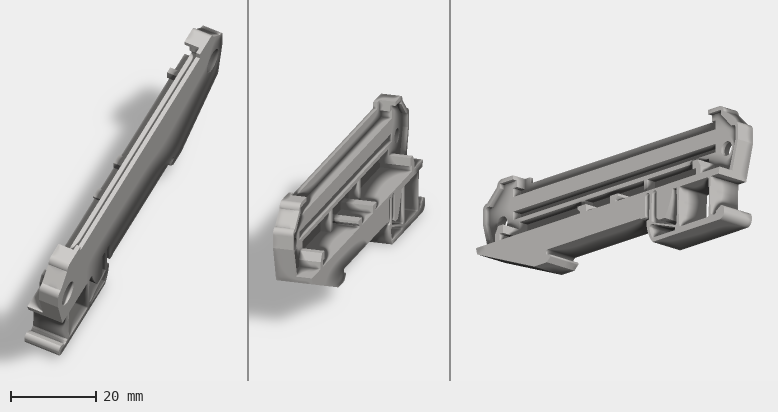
import cadquery as cq
import math

length = 86.4
width = 9.0
height = 30.0
half_length = length / 2

rim_x = 4.1
face_x = 5.4
groove_x = 7.95

ledge_z = 13.05
strip_z = 11.4
pocket_top_z = 18.5
groove_bottom_z = 19.5
groove_top_z = 21.6
upper_groove_z = 25.2
lip_z = 27.4
edge_z = 28.4
shoulder_z = 25.1

end_hook_tip_z = 14.6
end_hook_top_z = 16.7
center_hook_top_z = 14.9

groove_half = 34.3
lip_half = 33.0
notch_half = 31.4
pocket_half = 32.1
undercut_half = 33.3
base_top_half = 41.3

top_radius = 1.55
top_arc_y = 36.8
shoulder_radius = 1.5
side_bottom_z = 20.3
side_slope = (half_length - base_top_half) / (side_bottom_z - ledge_z)
base_bottom_half = base_top_half - side_slope * (ledge_z - strip_z)
rim_width = 0.9

hole_radius = 1.77
hole_y = 38.0
counterbore_radius = 3.0
counterbore_x = 6.4
hole_z = groove_bottom_z

rib_y = 10.5
rib_thickness = 1.0


def profile(x=0):
    """Sketch plane facing +X whose axes are Y and Z."""
    return cq.Workplane("YZ", origin=(x, 0, 0))


def both_ends(half):
    """Add the mirror image of a shape on the other side of the middle."""
    return half.union(half.mirror("XZ"))


def bar(x_start, x_end, y_start, y_end, z_start, z_end):
    size = (x_end - x_start, y_end - y_start, z_end - z_start)
    return cq.Workplane("XY").box(*size, centered=False).translate((x_start, y_start, z_start))


def plate_half():
    diagonal = top_radius * math.sqrt(0.5)
    shoulder_diagonal = shoulder_radius * math.sqrt(0.5)
    shoulder_center_y = half_length - shoulder_radius
    shoulder_center_z = shoulder_z - shoulder_radius
    return (
        profile(rim_x)
        .moveTo(0, ledge_z)
        .lineTo(0, edge_z)
        .lineTo(notch_half, edge_z)
        .lineTo(notch_half, height)
        .lineTo(top_arc_y, height)
        .threePointArc((top_arc_y + diagonal, edge_z + diagonal), (top_arc_y + top_radius, edge_z))
        .lineTo(shoulder_center_y, shoulder_z)
        .threePointArc(
            (shoulder_center_y + shoulder_diagonal, shoulder_center_z + shoulder_diagonal),
            (half_length, shoulder_center_z),
        )
        .lineTo(half_length, side_bottom_z)
        .lineTo(base_top_half, ledge_z)
        .close()
        .extrude(width - rim_x)
    )


def rim_recess_half():
    """Space in front of the main face, inside the rim of one end."""
    inner_y = half_length - rim_width
    inner_top_z = 28.95
    inner_corner_y = 37.4
    arc_radius = 0.7
    inner_shoulder_z = 24.2
    bend_z = 27.8
    bend_y = 40.95
    inner_bottom_y = 40.2
    return (
        profile(rim_x)
        .moveTo(0, ledge_z)
        .lineTo(0, height)
        .lineTo(lip_half, height)
        .lineTo(lip_half, inner_top_z)
        .lineTo(inner_corner_y, inner_top_z)
        .lineTo(inner_corner_y, bend_z)
        .lineTo(bend_y, inner_shoulder_z)
        .lineTo(inner_y - arc_radius, inner_shoulder_z)
        .radiusArc((inner_y, inner_shoulder_z - arc_radius), arc_radius)
        .lineTo(inner_y, side_bottom_z)
        .lineTo(inner_bottom_y, ledge_z)
        .close()
        .extrude(face_x - rim_x)
    )


def make_plate():
    plate = both_ends(plate_half()).cut(both_ends(rim_recess_half()))
    grooves = (
        bar(face_x, groove_x, -groove_half, groove_half, groove_bottom_z, groove_top_z)
        .union(bar(face_x, groove_x, -groove_half, groove_half, upper_groove_z, lip_z))
        .union(bar(face_x, groove_x, -lip_half, lip_half, lip_z, height))
    )
    pocket = bar(face_x, groove_x, -pocket_half, pocket_half, ledge_z, pocket_top_z).union(
        bar(face_x, groove_x, -undercut_half, undercut_half, ledge_z, end_hook_tip_z)
    )
    rib = bar(face_x, groove_x, rib_y - rib_thickness / 2, rib_y + rib_thickness / 2, ledge_z, pocket_top_z)
    hole_centers = [(-hole_y, hole_z), (hole_y, hole_z)]
    holes = profile().pushPoints(hole_centers).circle(hole_radius).extrude(width)
    counterbores = (
        profile(counterbore_x)
        .pushPoints(hole_centers)
        .circle(counterbore_radius)
        .extrude(width - counterbore_x)
    )
    return plate.cut(grooves).cut(pocket).union(both_ends(rib)).cut(holes).cut(counterbores)


def end_hook():
    """Hook that overhangs toward the middle of the part."""
    outer_y = 34.8
    bevel_y = 33.8
    bevel_z = 14.8
    return (
        profile()
        .polyline([
            (outer_y, ledge_z),
            (outer_y, bevel_z),
            (bevel_y, end_hook_top_z),
            (pocket_half, end_hook_top_z),
            (pocket_half, end_hook_tip_z),
            (undercut_half, end_hook_tip_z),
            (undercut_half, ledge_z),
        ])
        .close()
        .extrude(face_x)
    )


def center_hook():
    """Hook whose slanted lip overhangs away from the middle of the part."""
    inner_y = 4.1
    root_y = 6.05
    tip_y = 6.8
    root_z = 13.5
    tip_z = 14.25
    return (
        profile()
        .polyline([
            (inner_y, ledge_z),
            (inner_y, center_hook_top_z),
            (tip_y, center_hook_top_z),
            (tip_y, tip_z),
            (root_y, root_z),
            (root_y, ledge_z),
        ])
        .close()
        .extrude(groove_x)
    )


beam_z = 6.8
step_z = 6.6
toe_z = 3.7
slot_arc_z = 11.75
tooth_z = 4.9

beam_end_y = -16.1
spring_front_y = -17.5
spring_back_y = -18.4
tooth_y = -20.0


def make_base():
    front_radius = (beam_end_y - spring_front_y) / 2
    back_radius = (spring_back_y - tooth_y) / 2
    step_y = -14.3
    step_bevel = beam_z - step_z
    return (
        profile()
        .moveTo(base_top_half, ledge_z)
        .lineTo(base_bottom_half, strip_z)
        .lineTo(21.6, toe_z)
        .lineTo(17.3, toe_z)
        .lineTo(16.1, 4.8)
        .threePointArc((16.0, 5.2), (16.2, 5.4))
        .lineTo(17.4, 5.6)
        .threePointArc((17.6, 6.2), (16.9, beam_z))
        .lineTo(step_y, beam_z)
        .lineTo(step_y - step_bevel, step_z)
        .lineTo(beam_end_y + step_bevel, step_z)
        .lineTo(beam_end_y, beam_z)
        .lineTo(beam_end_y, slot_arc_z)
        .threePointArc((beam_end_y - front_radius, slot_arc_z + front_radius), (spring_front_y, slot_arc_z))
        .lineTo(spring_back_y, slot_arc_z)
        .threePointArc((spring_back_y - back_radius, slot_arc_z + back_radius), (tooth_y, slot_arc_z))
        .lineTo(tooth_y, 5.5)
        .threePointArc((-20.3, 5.2), (-20.9, tooth_z))
        .lineTo(-22.6, tooth_z)
        .threePointArc((-24.4, 8.2), (-25.3, strip_z))
        .lineTo(-base_bottom_half, strip_z)
        .lineTo(-base_top_half, ledge_z)
        .close()
        .extrude(width)
    )


leg_mid_z = 6.5
leg_waist = 0.3
floor_z = 1.55
heel_floor_z = 1.0

inner_leg_front_y = -26.6
inner_leg_back_y = -27.65
outer_leg_front_y = -37.4
outer_leg_back_y = -38.3
corner_radius = 0.35


def foot_outline():
    grip_end_y = -42.8
    return (
        profile()
        .moveTo(spring_front_y, slot_arc_z)
        .threePointArc((-17.45, 8.6), (-17.3, 5.9))
        .lineTo(-16.4, 5.5)
        .threePointArc((-17.0, 2.5), (-18.5, 0))
        .lineTo(-41.2, 0)
        .threePointArc((-42.3, 0.5), (grip_end_y, 1.9))
        .lineTo(grip_end_y, 2.4)
        .threePointArc((-42.4, 3.1), (-41.7, 3.45))
        .lineTo(-40.1, 2.4)
        .threePointArc((-39.5, 1.6), (-38.8, 1.9))
        .lineTo(outer_leg_back_y, 2.1)
        .threePointArc((outer_leg_back_y + leg_waist, leg_mid_z), (outer_leg_back_y, strip_z))
        .lineTo(outer_leg_back_y, slot_arc_z)
        .close()
        .extrude(width)
    )


def heel_window():
    return (
        profile()
        .moveTo(-18.5, heel_floor_z)
        .lineTo(-25.75, heel_floor_z)
        .threePointArc((-26.2, 1.4), (-25.8, 1.9))
        .lineTo(-18.5, 4.4)
        .threePointArc((-17.8, 4.3), (-17.45, 4.0))
        .threePointArc((-17.8, 2.4), (-18.5, heel_floor_z))
        .close()
        .extrude(width)
    )


def tooth_window():
    """Opening around the stop tooth, closed below by the slanted web."""
    return (
        profile()
        .moveTo(spring_back_y, slot_arc_z)
        .threePointArc((-18.2, 8.2), (-18.2, 5.1))
        .lineTo(-18.7, 4.75)
        .lineTo(-26.1, 2.3)
        .threePointArc((-26.4, 2.4), (inner_leg_front_y, 2.85))
        .threePointArc((inner_leg_front_y - leg_waist, leg_mid_z), (inner_leg_front_y, strip_z))
        .lineTo(inner_leg_front_y, slot_arc_z)
        .close()
        .extrude(width)
    )


def square_window():
    return (
        profile()
        .moveTo(inner_leg_back_y, floor_z)
        .threePointArc((inner_leg_back_y + leg_waist, leg_mid_z), (inner_leg_back_y, strip_z))
        .lineTo(outer_leg_front_y, strip_z)
        .threePointArc((outer_leg_front_y - leg_waist, leg_mid_z), (outer_leg_front_y, floor_z))
        .close()
        .extrude(width)
        .edges("|X")
        .fillet(corner_radius)
    )


def make_foot():
    return foot_outline().cut(heel_window()).cut(tooth_window()).cut(square_window())


result = (
    make_plate()
    .union(make_base())
    .union(both_ends(end_hook()))
    .union(both_ends(center_hook()))
    .union(make_foot())
)